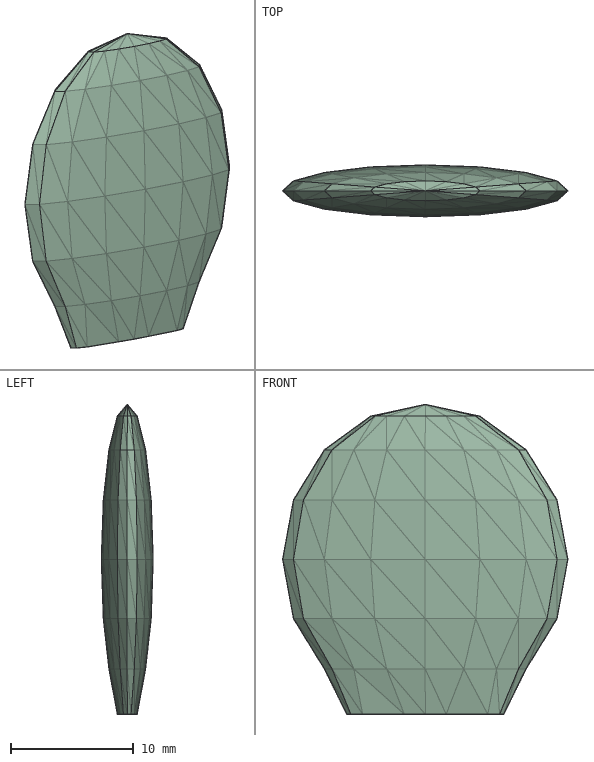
import cadquery as cq
import math

WIDTH = 23.29
THICKNESS = 4.24
HEIGHT = 25.3

SECTORS = 16
FOOT_FLARE = 1.95
UNFLARED_SECTORS = 1.5

STEP = 2 * math.pi / SECTORS
TOP_RING = SECTORS // 4 - 1
HALF_HEIGHT = HEIGHT / 2


def ellipsoid_ring(latitude_index):
    """Vertices of one horizontal ring, counter-clockwise seen from above."""
    latitude = latitude_index * STEP
    half_x = WIDTH / 2 * math.cos(latitude)
    half_y = THICKNESS / 2 * math.cos(latitude)
    z = HALF_HEIGHT * math.sin(latitude)
    return [
        (half_x * math.cos(i * STEP), half_y * math.sin(i * STEP), z)
        for i in range(SECTORS)
    ]


def flare(x, sector):
    """Push a foot vertex outward, leaving the three nearest each Y end in place."""
    if abs(math.cos(sector * STEP)) < math.sin(UNFLARED_SECTORS * STEP):
        return x
    return x + math.copysign(FOOT_FLARE, x)


def foot_ring():
    """Lowest ring, dropped to the bottom plane and widened along X."""
    lowest = ellipsoid_ring(-TOP_RING)
    return [(flare(x, i), y, -HALF_HEIGHT) for i, (x, y, _) in enumerate(lowest)]


def planar_face(points):
    outline = cq.Wire.makePolygon([cq.Vector(*p) for p in points], close=True)
    return cq.Face.makeFromWires(outline)


def band(upper, lower):
    """Triangles between two rings, each cell split from upper i to lower i + 1."""
    faces = []
    for i in range(SECTORS):
        j = (i + 1) % SECTORS
        faces.append(planar_face([upper[i], lower[i], lower[j]]))
        faces.append(planar_face([upper[i], lower[j], upper[j]]))
    return faces


def crown(ring):
    """Triangle fan from the top ring to the pole."""
    pole = (0, 0, HALF_HEIGHT)
    return [planar_face([pole, ring[i - 1], ring[i]]) for i in range(SECTORS)]


rings = [ellipsoid_ring(k) for k in range(TOP_RING, -TOP_RING, -1)]
rings.append(foot_ring())

facets = crown(rings[0])
for upper_ring, lower_ring in zip(rings, rings[1:]):
    facets.extend(band(upper_ring, lower_ring))
facets.append(planar_face(rings[-1][::-1]))

result = cq.Workplane(cq.Solid.makeSolid(cq.Shell.makeShell(facets)))